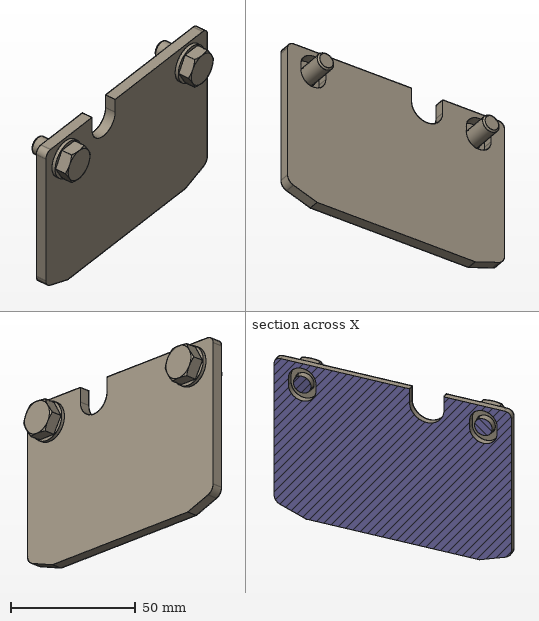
import cadquery as cq
import math

plate_thickness = 4.9
plate_width = 105.0
plate_height = 73.0
top_corner_radius = 3.0
bottom_taper_width = 14.3
bottom_taper_height = 5.0
taper_corner_radius = 4.2

notch_width = 15.0
notch_depth = 14.0
notch_center_y = -15.0

bolt_spacing = 80.0
bolt_drop = 10.0
slot_width = 12.0
slot_length = 15.0

washer_diameter = 17.0
washer_hole_diameter = 8.4
washer_thickness = 1.6

shank_diameter = 8.0
shank_length = 16.0
tip_chamfer = 0.7
head_width_across_flats = 14.1
head_height = 5.6
head_chamfer_angle = 30.0
head_face_diameter = head_width_across_flats

bolt_z = plate_height - bolt_drop
bolt_positions = [(y, bolt_z) for y in (-bolt_spacing / 2, bolt_spacing / 2)]
washer_x = plate_thickness
head_x = washer_x + washer_thickness


def make_plate():
    half_width = plate_width / 2
    bottom_half_width = half_width - bottom_taper_width
    outline = [
        (-bottom_half_width, 0),
        (bottom_half_width, 0),
        (half_width, bottom_taper_height),
        (half_width, plate_height),
        (-half_width, plate_height),
        (-half_width, bottom_taper_height),
    ]
    plate = cq.Workplane("YZ").polyline(outline).close().extrude(plate_thickness)
    side_edges = plate.faces("<Y or >Y").edges("|X")
    plate = side_edges.edges(">Z").fillet(top_corner_radius)
    plate = plate.faces("<Y or >Y").edges("|X").edges("<Z").fillet(taper_corner_radius)

    notch_radius = notch_width / 2
    notch_arc_z = plate_height - notch_depth + notch_radius
    notch = (
        cq.Workplane("YZ")
        .moveTo(notch_center_y - notch_radius, plate_height)
        .lineTo(notch_center_y - notch_radius, notch_arc_z)
        .threePointArc(
            (notch_center_y, plate_height - notch_depth),
            (notch_center_y + notch_radius, notch_arc_z),
        )
        .lineTo(notch_center_y + notch_radius, plate_height)
        .close()
        .extrude(plate_thickness)
    )
    slots = (
        cq.Workplane("YZ")
        .pushPoints(bolt_positions)
        .slot2D(slot_length, slot_width, 90)
        .extrude(plate_thickness)
    )
    return plate.cut(notch).cut(slots)


def make_washer(y, z):
    """Flat washer against the plate."""
    disc = (
        cq.Workplane("YZ", origin=(washer_x, y, z))
        .circle(washer_diameter / 2)
        .extrude(washer_thickness)
    )
    return disc.faces(">X").workplane().hole(washer_hole_diameter)


def make_bolt(y, z):
    """Hex bolt with its head on +X and two head corners pointing along Y."""
    shank = (
        cq.Workplane("YZ", origin=(head_x - shank_length, y, z))
        .circle(shank_diameter / 2)
        .extrude(shank_length)
        .faces("<X")
        .chamfer(tip_chamfer)
    )
    corner_diameter = head_width_across_flats / math.cos(math.radians(30))
    hexagon = (
        cq.Workplane("YZ", origin=(head_x, y, z))
        .polygon(6, corner_diameter)
        .extrude(head_height)
    )
    corner_radius = corner_diameter / 2
    face_radius = head_face_diameter / 2
    cone_height = (corner_radius - face_radius) * math.tan(math.radians(head_chamfer_angle))
    head_top = head_x + head_height
    blank_profile = [
        (head_x, 0),
        (head_x, corner_radius),
        (head_top - cone_height, corner_radius),
        (head_top, face_radius),
        (head_top, 0),
    ]
    blank = (
        cq.Workplane("XY")
        .polyline(blank_profile)
        .close()
        .revolve(360, (0, 0, 0), (1, 0, 0))
        .translate((0, y, z))
    )
    return shank.union(hexagon.intersect(blank))


plate = make_plate()
washers = [make_washer(y, z) for y, z in bolt_positions]
bolts = [make_bolt(y, z) for y, z in bolt_positions]

result = cq.Compound.makeCompound([body.val() for body in [plate, *washers, *bolts]])